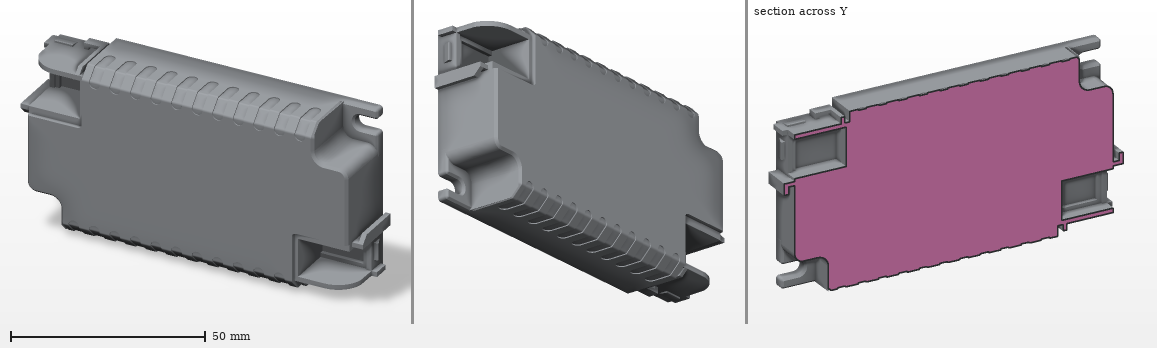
import cadquery as cq
import math


LENGTH = 100.0
DEPTH = 19.0
HEIGHT = 50.0
BODY_LENGTH = 94.2
LONG_BEVEL = 3.2
BEVEL_ROUND = 0.8
DRAFT = 0.3
RIM = 0.7

GROOVE_COUNT = 11
GROOVE_PITCH = 6.0
GROOVE_WIDTH = 3.1
GROOVE_DEPTH = 0.3
GROOVE_REACH_TOP = 10.0
GROOVE_REACH_FRONT = 5.0
FIRST_GROOVE_X = -27.0

BAY_X = -30.7
BAY_BOTTOM_Z = 7.4
BAY_TOP_Z = 22.0
BAY_STEP = 1.3
BAY_CORNER = 1.2
CAVITY_X = -31.8
CAVITY_BOTTOM_Z = 9.5
CAVITY_DEPTH = 13.0
ROOF_THICKNESS = 1.4
ROOF_CORNER = 7.6
LIP_X = -48.6
LEDGE_SIDE = 1.5
LEDGE_DEPTH = 0.5
POCKET_MARGIN = 1.2
POCKET_DEPTH = 14.7

TRIM_BACK_Y = 17.8
HOOK_FRONT_Y = 14.8
HOOK_LEFT_X = -37.9
HOOK_HEIGHT = 1.8
RIB_WIDTH = 1.2
RIB_RIGHT_X = -32.1
HOOK_BAR = 1.0
HOOK_LEG = 1.3

WEDGE_BACK_Y = 17.3
WEDGE_CREST_Y = 15.0
WEDGE_FRONT_Y = 14.4
ROOF_WEDGE_X = -46.3
ROOF_WEDGE_LENGTH = 5.3
ROOF_WEDGE_HEIGHT = 0.5
END_WEDGE_Z = 13.0
END_WEDGE_LENGTH = 5.0
END_WEDGE_HEIGHT = 1.0

LATCH_FRONT_Y = 2.7
LATCH_TOP_Z = 8.7
LATCH_ARM = 1.3
LATCH_LIP = 1.4
LATCH_DROP = 3.4
LATCH_BEVEL = 2.1

NOTCH_WALL_X = -37.2
NOTCH_TOP_Z = -14.9
NOTCH_CORNER = 2.9
NOTCH_FLARE = 2.9
FLANGE_FRONT_Y = 16.0
SLOT_Z = -20.0
SLOT_WIDTH = 4.0
SLOT_END_X = -40.2
FLANGE_BEVEL = 0.6
FLANGE_ROUND = 0.8
FLANGE_OVERLAP = 1.5

OVERCUT = 5.0
EMBED = 0.5

HALF_BODY = BODY_LENGTH / 2
HALF_HEIGHT = HEIGHT / 2
LATCH_END_X = -LENGTH / 2


def box(x_range, y_range, z_range):
    """Box spanning the given (low, high) pairs."""
    sizes = [high - low for low, high in (x_range, y_range, z_range)]
    corner = (x_range[0], y_range[0], z_range[0])
    return cq.Workplane("XY").box(*sizes, centered=False).translate(corner)


def both_ends(shape):
    """The shape together with its half-turn copy about the Y axis."""
    return shape.union(half_turn(shape))


def half_turn(shape):
    """The shape turned half way round the Y axis."""
    return shape.rotate((0, 0, 0), (0, 1, 0), 180)


def xz_plane(y):
    """Sketch plane with local X = X, local Y = Z, extruding toward -Y."""
    return cq.Workplane(cq.Plane(origin=(0, y, 0), xDir=(1, 0, 0), normal=(0, -1, 0)))


def long_prism(inset):
    """Full-length bar with bevelled, rounded long edges, shrunk by the inset."""
    half = HALF_HEIGHT - inset
    bar = box((-HALF_BODY, HALF_BODY), (inset, DEPTH), (-half, half))
    bevel = LONG_BEVEL - inset * (2 - math.sqrt(2))
    bar = bar.faces("<Y").edges("|X").chamfer(bevel)
    bevel_edges = bar.faces("<Y").edges("|X")
    bevel_edges = bevel_edges.add(bar.faces(">Z or <Z").edges("<Y"))
    return bevel_edges.fillet(BEVEL_ROUND)


def end_outline():
    """Body in plan: drafted ends with a small bevel at the front face."""
    front = HALF_BODY - DRAFT
    points = [
        (-HALF_BODY, DEPTH), (-front, RIM), (-front + RIM, 0),
        (front - RIM, 0), (front, RIM), (HALF_BODY, DEPTH),
    ]
    return cq.Workplane("XY").polyline(points).close().extrude(HALF_HEIGHT, both=True)


def groove_column(x):
    """Region of one vent groove: rounded on the long side and on the front face."""
    radius = GROOVE_WIDTH / 2
    x_range = (x - radius, x + radius)
    inner_z = HALF_HEIGHT - GROOVE_REACH_FRONT + radius
    inner_y = GROOVE_REACH_TOP - radius
    z_range = (0, HALF_HEIGHT + OVERCUT)
    seen_from_top = box(x_range, (-OVERCUT, inner_y), z_range)
    seen_from_top = seen_from_top.union(
        cq.Workplane("XY").center(x, inner_y).circle(radius).extrude(z_range[1])
    )
    seen_from_front = box(x_range, (-OVERCUT, DEPTH), (inner_z, z_range[1]))
    seen_from_front = seen_from_front.union(
        xz_plane(DEPTH).center(x, inner_z).circle(radius).extrude(DEPTH + OVERCUT)
    )
    return seen_from_top.intersect(seen_from_front)


def grooves():
    """Shallow skin removed along each groove column on the upper long edge."""
    columns = groove_column(FIRST_GROOVE_X)
    for index in range(1, GROOVE_COUNT):
        columns = columns.union(groove_column(FIRST_GROOVE_X + index * GROOVE_PITCH))
    return columns.cut(long_prism(GROOVE_DEPTH))


def bay_cut():
    """Everything removed from the body to form the terminal bay."""
    outside_x = -HALF_BODY - OVERCUT
    above_z = HALF_HEIGHT + OVERCUT
    roof_bottom_z = BAY_TOP_Z - ROOF_THICKNESS
    step = box((outside_x, BAY_X), (-OVERCUT, BAY_STEP), (BAY_BOTTOM_Z, above_z))
    step = step.edges("|Y and >X and <Z").fillet(BAY_CORNER)
    above_roof = box((outside_x, BAY_X), (-OVERCUT, DEPTH + OVERCUT), (BAY_TOP_Z, above_z))
    cavity = box((outside_x, CAVITY_X), (0, CAVITY_DEPTH), (CAVITY_BOTTOM_Z, roof_bottom_z))
    ledge_x = -HALF_BODY + LEDGE_SIDE
    ledge_back_y = CAVITY_DEPTH + LEDGE_DEPTH
    ledge = box((ledge_x, CAVITY_X), (0, ledge_back_y), (CAVITY_BOTTOM_Z, roof_bottom_z))
    pocket = box(
        (ledge_x + POCKET_MARGIN, CAVITY_X),
        (0, POCKET_DEPTH),
        (CAVITY_BOTTOM_Z, roof_bottom_z - POCKET_MARGIN),
    )
    roof_corner = box(
        (outside_x, -HALF_BODY + ROOF_CORNER),
        (0, BAY_STEP + ROOF_CORNER),
        (CAVITY_BOTTOM_Z, above_z),
    ).cut(
        cq.Workplane("XY")
        .center(-HALF_BODY + ROOF_CORNER, BAY_STEP + ROOF_CORNER)
        .circle(ROOF_CORNER)
        .extrude(above_z)
    )
    return step.union(above_roof).union(cavity).union(ledge).union(pocket).union(roof_corner)


def roof_trim():
    """Lip, hook and rib standing out from the bay roof."""
    lip = box(
        (LIP_X, -HALF_BODY + EMBED),
        (CAVITY_DEPTH, TRIM_BACK_Y),
        (BAY_TOP_Z - ROOF_THICKNESS, BAY_TOP_Z),
    )
    top_z = BAY_TOP_Z + HOOK_HEIGHT
    base_z = BAY_TOP_Z - EMBED
    rib_left_x = RIB_RIGHT_X - RIB_WIDTH
    hook = box((HOOK_LEFT_X, RIB_RIGHT_X), (HOOK_FRONT_Y, TRIM_BACK_Y), (base_z, top_z))
    opening = box(
        (HOOK_LEFT_X + HOOK_LEG, rib_left_x),
        (HOOK_FRONT_Y, TRIM_BACK_Y),
        (BAY_TOP_Z, top_z - HOOK_BAR),
    )
    rib_profile = [
        (TRIM_BACK_Y, base_z), (BAY_STEP, base_z), (BAY_STEP, BAY_TOP_Z),
        (BAY_STEP + HOOK_HEIGHT, top_z), (TRIM_BACK_Y, top_z),
    ]
    rib = cq.Workplane("YZ").workplane(offset=rib_left_x).polyline(rib_profile).close().extrude(RIB_WIDTH)
    return lip.union(hook.cut(opening)).union(rib)


def snap_wedge(height):
    """Wedge profile as (Y, rise) points: ramp from the back, flat crest at the front."""
    return [
        (WEDGE_BACK_Y, -EMBED), (WEDGE_BACK_Y, 0), (WEDGE_CREST_Y, height),
        (WEDGE_FRONT_Y, height), (WEDGE_FRONT_Y, -EMBED),
    ]


def roof_wedge():
    """Snap wedge on the bay roof."""
    points = [(y, BAY_TOP_Z + rise) for y, rise in snap_wedge(ROOF_WEDGE_HEIGHT)]
    sketch = cq.Workplane("YZ").workplane(offset=ROOF_WEDGE_X)
    return sketch.polyline(points).close().extrude(ROOF_WEDGE_LENGTH)


def end_wedge():
    """Snap wedge on the end wall beside the bay."""
    points = [(-HALF_BODY - rise, y) for y, rise in snap_wedge(END_WEDGE_HEIGHT)]
    sketch = cq.Workplane("XY").workplane(offset=END_WEDGE_Z)
    return sketch.polyline(points).close().extrude(END_WEDGE_LENGTH)


def end_latch():
    """Angled latch on the end wall, its lower front corner cut off."""
    y_range = (LATCH_FRONT_Y, TRIM_BACK_Y)
    arm = box((LATCH_END_X, -HALF_BODY + EMBED), y_range, (LATCH_TOP_Z - LATCH_ARM, LATCH_TOP_Z))
    lip = box(
        (LATCH_END_X, LATCH_END_X + LATCH_LIP),
        y_range,
        (LATCH_TOP_Z - LATCH_DROP, LATCH_TOP_Z),
    )
    lip = lip.edges("|X and <Y and <Z").chamfer(LATCH_BEVEL)
    return arm.union(lip)


def notch_section(y, offset):
    """Notch outline at depth y, its walls moved into the body by the offset."""
    wall_x = NOTCH_WALL_X + offset
    top_z = NOTCH_TOP_Z + offset
    end_x = -HALF_BODY + offset
    corner = NOTCH_CORNER + offset
    flare = NOTCH_FLARE - offset
    outside_x = -HALF_BODY - OVERCUT
    below_z = -HALF_HEIGHT - OVERCUT
    diagonal = 1 - math.sqrt(0.5)
    return (
        xz_plane(y)
        .moveTo(outside_x, below_z)
        .lineTo(wall_x, below_z)
        .lineTo(wall_x, top_z - corner)
        .threePointArc(
            (wall_x - corner * diagonal, top_z - corner * diagonal),
            (wall_x - corner, top_z),
        )
        .lineTo(end_x + flare, top_z)
        .threePointArc(
            (end_x + flare * diagonal, top_z + flare * diagonal),
            (end_x, top_z + flare),
        )
        .lineTo(outside_x, top_z + flare)
        .close()
        .wires()
        .val()
    )


def notch_cut():
    """Mounting notch: drafted walls and a bevelled rim at the front face."""
    back = notch_section(DEPTH, 0)
    below_rim = notch_section(RIM, DRAFT)
    rim = notch_section(0, DRAFT + RIM)
    walls = cq.Solid.makeLoft([back, below_rim], True)
    flare = cq.Solid.makeLoft([below_rim, rim], True)
    return cq.Workplane(walls).union(cq.Workplane(flare))


def notch_edge_bevel():
    """Bevel where the notch side wall meets the long bevel and the long side."""
    wall_x = NOTCH_WALL_X + DRAFT
    small = long_prism(RIM).faces("<X").wires().val()
    full = long_prism(0).faces("<X").wires().val()
    sections = [
        small.translate(cq.Vector(wall_x + HALF_BODY, 0, 0)),
        full.translate(cq.Vector(wall_x + RIM + HALF_BODY, 0, 0)),
    ]
    kept = cq.Workplane(cq.Solid.makeLoft(sections, True))
    region = box(
        (wall_x, wall_x + RIM),
        (-OVERCUT, FLANGE_FRONT_Y),
        (-HALF_HEIGHT - OVERCUT, NOTCH_TOP_Z - NOTCH_CORNER),
    )
    return region.cut(kept)


def flange():
    """Slotted mounting flange closing the back of the notch, its front edges bevelled."""
    plate = box(
        (-HALF_BODY, NOTCH_WALL_X + FLANGE_OVERLAP),
        (FLANGE_FRONT_Y, DEPTH),
        (-HALF_HEIGHT, NOTCH_TOP_Z + NOTCH_FLARE + FLANGE_OVERLAP),
    )
    outside_x = -HALF_BODY - OVERCUT
    radius = SLOT_WIDTH / 2
    slot = (
        xz_plane(DEPTH)
        .moveTo(outside_x, SLOT_Z - radius)
        .lineTo(SLOT_END_X - radius, SLOT_Z - radius)
        .threePointArc((SLOT_END_X, SLOT_Z), (SLOT_END_X - radius, SLOT_Z + radius))
        .lineTo(outside_x, SLOT_Z + radius)
        .close()
        .extrude(DEPTH - FLANGE_FRONT_Y)
    )
    plate = plate.cut(slot)
    plate = plate.faces("<X").edges("|Y").fillet(FLANGE_ROUND)
    return plate.faces("<Y").chamfer(FLANGE_BEVEL)


body = long_prism(0).intersect(end_outline())
result = body.cut(both_ends(grooves()))
result = result.cut(both_ends(bay_cut()))
result = result.cut(both_ends(notch_cut().union(notch_edge_bevel())))
added = flange().union(roof_trim()).union(end_latch())
added = added.union(roof_wedge()).union(end_wedge())
result = result.union(both_ends(added))